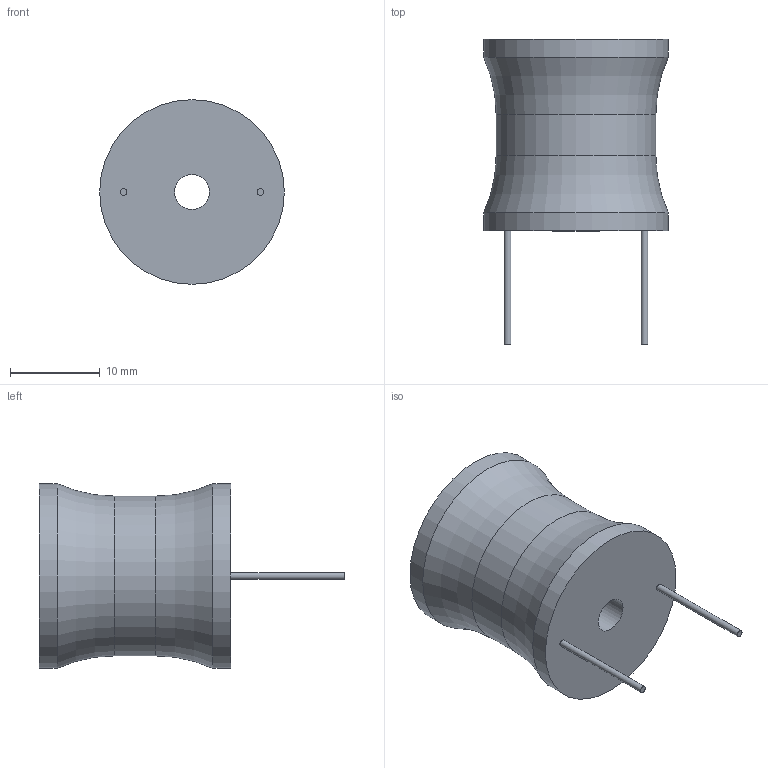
import cadquery as cq
import math

core_diameter = 20.57
core_length = 21.34
flange_thickness = 2.0
waist_diameter = 17.8
waist_length = 4.6
bore_diameter = 3.9

pin_diameter = 0.75
pin_length = 12.7
pin_spacing = 15.24

flange_radius = core_diameter / 2
waist_radius = waist_diameter / 2
waist_start = (core_length - waist_length) / 2
waist_end = waist_start + waist_length
far_flange_start = core_length - flange_thickness

flare_length = waist_start - flange_thickness
flare_rise = flange_radius - waist_radius
flare_radius = (flare_length**2 + flare_rise**2) / (2 * flare_rise)
flare_mid_angle = math.asin(flare_length / flare_radius) / 2
flare_mid_offset = flare_radius * math.sin(flare_mid_angle)
flare_mid_radius = waist_radius + flare_radius * (1 - math.cos(flare_mid_angle))


def make_core():
    """Waisted drum revolved about the Y axis, with a through bore."""
    drum = (
        cq.Workplane("XY")
        .moveTo(0, 0)
        .lineTo(-flange_radius, 0)
        .lineTo(-flange_radius, flange_thickness)
        .threePointArc((-flare_mid_radius, waist_start - flare_mid_offset), (-waist_radius, waist_start))
        .lineTo(-waist_radius, waist_end)
        .threePointArc((-flare_mid_radius, waist_end + flare_mid_offset), (-flange_radius, far_flange_start))
        .lineTo(-flange_radius, core_length)
        .lineTo(0, core_length)
        .close()
        .revolve(360, (0, 0), (0, 1))
    )
    bore = cq.Workplane("XZ").circle(bore_diameter / 2).extrude(-core_length)
    return drum.cut(bore)


def make_pins():
    """Two round leads on the X axis, standing on the pin-side face."""
    return (
        cq.Workplane("XZ")
        .pushPoints([(-pin_spacing / 2, 0), (pin_spacing / 2, 0)])
        .circle(pin_diameter / 2)
        .extrude(pin_length)
    )


result = make_core().union(make_pins())